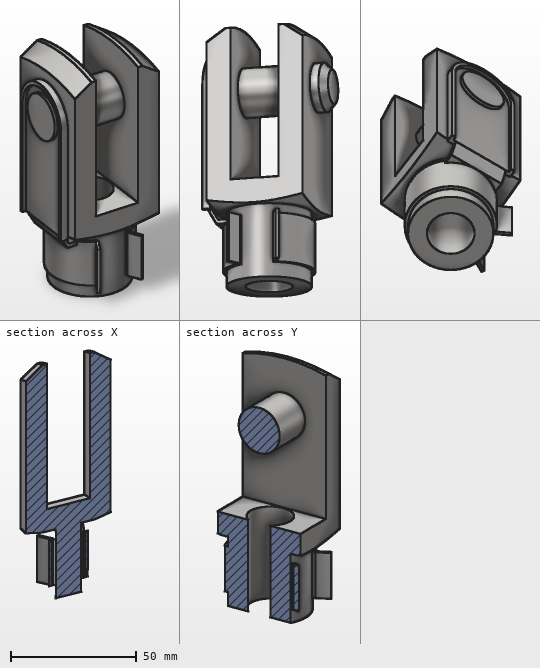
import cadquery as cq
import math

total_height = 105.0
fork_width = 40.0
half_width = fork_width / 2
fork_bottom = 30.0
slot_width = fork_width / 2
slot_floor = 40.0

crown_sagitta = 2.7
crown_drop = 5.2
crown_flat = 2.1
base_cone_angle = 15.0

shank_radius = 17.0
bore_radius = 9.5

pin_radius = 10.0
pin_height = 80.0
pin_end = 26.7
pin_chamfer = 3.0
pin_head_face = -23.1

sheet = 1.7
plate_half_width = 15.0
rim_width = 1.7
rim_face = -23.3
panel_face = -half_width - sheet
ring_radius = 18.4
ring_bottom = 6.0
ring_top = 25.9
neck_width = 24.0
neck_inner_end = -13.6
neck_bend = -17.5
lip_start_x = 16.6
lip_tip_x = 22.2
lip_angle = 28.0
lip_thickness = 1.3


def box_between(x, y, z):
    """Box spanning the given (low, high) pair on each axis."""
    size = [high - low for low, high in (x, y, z)]
    return cq.Workplane("XY").box(*size, centered=False).translate((x[0], y[0], z[0]))


def fork_outline(y, peak):
    """Fork outline with an arched top, in the plane at the given Y."""
    shoulder = peak - crown_sagitta
    return (
        cq.Workplane("XZ", origin=(0, y, 0))
        .moveTo(-half_width, fork_bottom)
        .lineTo(half_width, fork_bottom)
        .lineTo(half_width, shoulder)
        .threePointArc((0, peak), (-half_width, shoulder))
        .close()
    )


def cheek_layer(y_inner, y_outer, peak_outer):
    """Slice of the fork whose arched top falls to peak_outer at y_outer."""
    inner = fork_outline(y_inner, total_height).wire().val()
    outer = fork_outline(y_outer, peak_outer).wire().val()
    return cq.Workplane(cq.Solid.makeLoft([inner, outer], True))


def make_fork():
    flat_edge = slot_width / 2 + crown_flat
    fork = fork_outline(flat_edge, total_height).extrude(2 * flat_edge)
    for side in (-1, 1):
        fork = fork.union(cheek_layer(side * flat_edge, side * half_width, total_height - crown_drop))

    corner_radius = half_width * math.sqrt(2)
    cone_rise = (corner_radius - half_width) * math.tan(math.radians(base_cone_angle))
    envelope = (
        cq.Workplane("XZ")
        .moveTo(0, fork_bottom)
        .lineTo(half_width, fork_bottom)
        .lineTo(corner_radius, fork_bottom + cone_rise)
        .lineTo(corner_radius, total_height)
        .lineTo(0, total_height)
        .close()
        .revolve(360, (0, 0, 0), (0, 1, 0))
    )
    slot = box_between(
        (-half_width, half_width), (-slot_width / 2, slot_width / 2), (slot_floor, total_height)
    )
    shank = cq.Workplane("XY").circle(shank_radius).extrude(fork_bottom)
    bore = cq.Workplane("XY").circle(bore_radius).extrude(slot_floor)
    return fork.intersect(envelope).cut(slot).union(shank).cut(bore)


def make_pin():
    length = pin_end - pin_head_face
    return (
        cq.Workplane("XZ", origin=(0, pin_end, 0))
        .center(0, pin_height)
        .circle(pin_radius)
        .extrude(length)
        .faces(">Y")
        .chamfer(pin_chamfer)
    )


def plate_layer(half, y_back, y_front):
    """Round-topped plate concentric with the pin, between two Y positions."""
    return (
        cq.Workplane("XZ", origin=(0, y_back, 0))
        .moveTo(-half, fork_bottom)
        .lineTo(half, fork_bottom)
        .lineTo(half, pin_height)
        .threePointArc((0, pin_height + half), (-half, pin_height))
        .close()
        .extrude(y_back - y_front)
    )


def make_clip_plate():
    plate = plate_layer(plate_half_width, -half_width, rim_face)
    return plate.cut(plate_layer(plate_half_width - rim_width, panel_face, rim_face))


def make_clip_neck():
    """Bent strip joining the plate to the top of the clip ring."""
    neck_bottom = ring_top - sheet
    return (
        cq.Workplane("YZ", origin=(-neck_width / 2, 0, 0))
        .moveTo(neck_inner_end, ring_top)
        .lineTo(neck_bend, ring_top)
        .lineTo(-half_width, fork_bottom)
        .lineTo(panel_face, fork_bottom)
        .lineTo(neck_bend - sheet / 2, neck_bottom)
        .lineTo(neck_inner_end, neck_bottom)
        .close()
        .extrude(neck_width)
    )


def make_clip_ring():
    """Ring around the shank, open toward +X between two flared lips."""
    height = ring_top - ring_bottom
    lip_start_y = math.sqrt(ring_radius**2 - lip_start_x**2)
    ring = (
        cq.Workplane("XY", origin=(0, 0, ring_bottom))
        .circle(ring_radius)
        .circle(shank_radius)
        .extrude(height)
    )
    opening = box_between((0, ring_radius), (-lip_start_y, lip_start_y), (ring_bottom, ring_top))
    ring = ring.cut(opening)

    angle = math.radians(lip_angle)
    run = lip_tip_x - lip_start_x
    tip_y = lip_start_y + run * math.tan(angle)
    across_x = lip_thickness * math.sin(angle)
    across_y = lip_thickness * math.cos(angle)
    lip_root_x = (bore_radius + shank_radius) / 2
    lip = (
        cq.Workplane("XY", origin=(0, 0, ring_bottom))
        .moveTo(lip_start_x, lip_start_y)
        .lineTo(lip_tip_x, tip_y)
        .lineTo(lip_tip_x + across_x, tip_y - across_y)
        .lineTo(lip_start_x + across_x, lip_start_y - across_y)
        .lineTo(lip_root_x, lip_start_y - across_y)
        .close()
        .extrude(height)
    )
    return ring.union(lip).union(lip.mirror("XZ"))


result = make_fork()
for piece in (make_pin(), make_clip_plate(), make_clip_neck(), make_clip_ring()):
    result = result.union(piece)